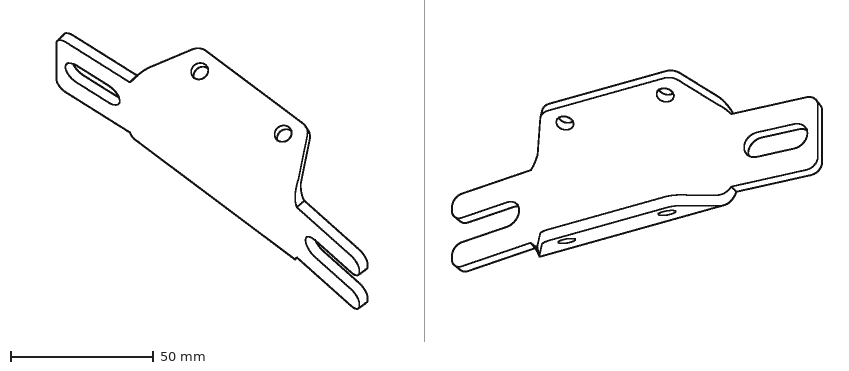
import cadquery as cq
import math

thickness = 4.0
inner_radius = thickness
outer_radius = inner_radius + thickness
flange_angle = 70.0
tail_angle = 5.0

plate_half_length = 40.0
plate_width = 30.1
plate_half_width = plate_width / 2

flange_half_base = 36.0
flange_half_tip = 26.2
flange_height = 17.1
flange_corner_radius = 5.0
hole_diameter = 6.1
hole_half_spacing = 20.0
hole_height = 10.0

overall_half_length = 73.0
tail_corner_radius = 4.4
slot_width = 10.1
slot_inner_x = 44.5
slot_outer_x = 68.7

tilt = math.radians(tail_angle)
tail_bend_end_x = plate_half_length + outer_radius * math.sin(tilt)
tail_length = (overall_half_length - tail_bend_end_x) / math.cos(tilt)


def along_tail(x):
    """Distance from the end of the bend to a point x on the front face of the tail."""
    front_start = plate_half_length + inner_radius * math.sin(tilt)
    return (x - front_start) / math.cos(tilt)


def tail_plane():
    """Front face of the right-hand tail, starting at the end of its bend."""
    origin = (
        plate_half_length + inner_radius * math.sin(tilt),
        -inner_radius * (1 - math.cos(tilt)),
        0,
    )
    direction = (math.cos(tilt), -math.sin(tilt), 0)
    normal = (-math.sin(tilt), -math.cos(tilt), 0)
    return cq.Workplane(cq.Plane(origin, direction, normal))


def make_tail_bend():
    """Bend that turns the right-hand tail towards -Y."""
    axis_offset = -thickness / 2 - inner_radius
    return (
        cq.Workplane("YZ", origin=(plate_half_length, 0, 0))
        .center(thickness / 2, 0)
        .rect(thickness, plate_width)
        .revolve(tail_angle, (axis_offset, 1.5), (axis_offset, 0))
    )


def make_tail(prong_slot):
    """Right-hand tail with a closed slot, or with one open at the tip that leaves two prongs."""
    tail = (
        tail_plane()
        .center(tail_length / 2, 0)
        .rect(tail_length, plate_width)
        .extrude(-thickness)
    )
    slot_start = along_tail(slot_inner_x)
    slot_end = tail_length + slot_width if prong_slot else along_tail(slot_outer_x)
    slot = (
        tail_plane()
        .center((slot_start + slot_end) / 2, 0)
        .slot2D(slot_end - slot_start, slot_width)
        .extrude(-thickness)
    )
    tail = tail.cut(slot)
    tail = (
        tail.edges("not |Z")
        .filter(lambda edge: edge.Center().x > overall_half_length - thickness / 2)
        .fillet(tail_corner_radius)
    )
    return make_tail_bend().union(tail)


def bend_edge(radius, side):
    """Side edge of the upper flange bend on one of its cylinders; the bend narrows evenly with angle."""
    steps = 8
    points = []
    for step in range(steps + 1):
        share = step / steps
        angle = math.radians(flange_angle) * share
        half_length = plate_half_length + (flange_half_base - plate_half_length) * share
        points.append(
            cq.Vector(
                side * half_length,
                outer_radius - radius * math.cos(angle),
                plate_half_width + radius * math.sin(angle),
            )
        )
    return cq.Edge.makeSpline(points)


def make_flange_bend():
    """Upper flange bend, closed by ruled faces between its four curved side edges."""
    rails = [
        bend_edge(inner_radius, -1),
        bend_edge(inner_radius, 1),
        bend_edge(outer_radius, 1),
        bend_edge(outer_radius, -1),
    ]
    faces = [cq.Face.makeRuledSurface(rails[i - 1], rails[i]) for i in range(len(rails))]
    for end in (0, 1):
        corners = [rail.positionAt(end) for rail in rails]
        faces.append(cq.Face.makeFromWires(cq.Wire.makePolygon(corners, close=True)))
    return cq.Workplane(cq.Solid.makeSolid(cq.Shell.makeShell(faces)).fix())


def make_flange():
    """Flat tapered part of the upper flange, with two round holes."""
    angle = math.radians(flange_angle)
    origin = (
        0,
        outer_radius * (1 - math.cos(angle)),
        plate_half_width + outer_radius * math.sin(angle),
    )
    outward = cq.Vector(0, -math.cos(angle), math.sin(angle))
    plane = cq.Plane(origin, (1, 0, 0), outward)
    flange = (
        cq.Workplane(plane)
        .moveTo(-flange_half_base, 0)
        .lineTo(flange_half_base, 0)
        .lineTo(flange_half_tip, flange_height)
        .lineTo(-flange_half_tip, flange_height)
        .close()
        .extrude(-thickness)
        .edges(cq.selectors.ParallelDirSelector(outward))
        .filter(lambda edge: edge.Center().z > origin[2] + flange_height * math.cos(angle) / 2)
        .fillet(flange_corner_radius)
    )
    holes = (
        cq.Workplane(plane)
        .pushPoints([(side * hole_half_spacing, hole_height) for side in (-1, 1)])
        .circle(hole_diameter / 2)
        .extrude(-thickness)
    )
    return flange.cut(holes)


plate = cq.Workplane("XZ").rect(2 * plate_half_length, plate_width).extrude(-thickness)
upper_flange = make_flange_bend().union(make_flange())
result = (
    plate
    .union(make_tail(prong_slot=True))
    .union(make_tail(prong_slot=False).mirror("YZ"))
    .union(upper_flange)
    .union(upper_flange.mirror("XY"))
)